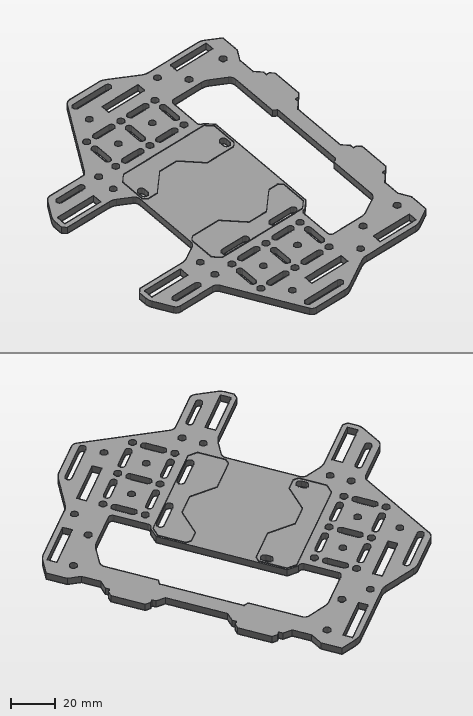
import cadquery as cq
import math

WIDTH = 170.0
GRID_PITCHES_ACROSS = 17
PITCH = WIDTH / GRID_PITCHES_ACROSS
THICKNESS = 4.0
OVERCUT = 1.7
THROUGH = THICKNESS + 2 * OVERCUT
TAN_30 = math.tan(math.radians(30))
TAN_60 = math.tan(math.radians(60))

HALF_WIDTH = WIDTH / 2
REAR_EDGE = 71.9
DEPTH = 135.0
LEG_END = REAR_EDGE - DEPTH
CORNER_SETBACK = 1.9
ARM_OUTER_X = 7.5 * PITCH
ARM_CORNER_X = 7 * PITCH
ARM_REAR = 68.3
ARM_INNER_X = 6 * PITCH
CROSSBAR_REAR = 65.1
TAB_OUTER_X = 4 * PITCH
TAB_INNER_X = 2 * PITCH
TAB_LEDGE = 2.0
WING_REAR = PITCH
WING_FRONT = -10.5
LEG_OUTER_X = 4.5 * PITCH
LEG_INNER_X = 2.5 * PITCH
LEG_FLAT_X = 33.0
LEG_ROOT = -34.7
BRIDGE_FRONT = -2.5 * PITCH

WINDOW_SIDE_X = 5.5 * PITCH
WINDOW_FRONT = 2.5 * PITCH
WINDOW_SHOULDER = 4.5 * PITCH
WINDOW_REAR_SIDE = 56.0
WINDOW_REAR_MIDDLE = 58.0

PAD_SIDE_X = 34.0
PAD_REAR = 3 * PITCH
PAD_FRONT = -24.0
PAD_CHAMFER = 3.4
PAD_DEPTH = 0.3
PAD_INNER_X = 15.3
PAD_WAIST_X = 2.5 * PITCH
PAD_LEFT_WAIST_REAR = 2.9
PAD_LEFT_WAIST_FRONT = -7.0
PAD_RIGHT_WAIST_REAR = 13.1
PAD_RIGHT_WAIST_FRONT = 2.9
BOARD_RIM = 1.0

HOLE_LARGE = 3.5
HOLE_SMALL = 3.4
SLOT_WIDTH = 3.2
GRID_SLOT_LENGTH = 12.0
LEG_SLOT_LENGTH = 16.0
LEG_SLOT_Y = -46.5
WING_SLOT_LENGTH = 22.1
SQUARE_SLOT_LENGTH = 21.0
ARM_SQUARE_SLOT_WIDTH = 4.6
LEG_SQUARE_SLOT_WIDTH = 5.1
BOARD_SLOT_WIDTH = 3.5
BOARD_LEFT_SLOT_LENGTH = 5.8
BOARD_LEFT_SLOT_X = -2 * PITCH
BOARD_LEFT_SLOT_ROWS = (27.0, -21.0)
BOARD_RIGHT_SLOT_LENGTH = 15.5
BOARD_RIGHT_SLOT_X = 31.8
BOARD_RIGHT_SLOT_ROWS = (17.0, -11.0)


def mirrored_loop(half):
    """Close a +X half outline, listed from rear to front, with its mirror image."""
    return half + [(-x, y, corner) for x, y, corner in reversed(half)]


def extruded_outline(corners, base, height):
    """Extrude a closed loop of (x, y, corner style) corners."""
    def toward(start, end):
        length = math.dist(start[:2], end[:2])
        step = CORNER_SETBACK / length
        return (start[0] + step * (end[0] - start[0]), start[1] + step * (end[1] - start[1]))

    first, last = corners[0], corners[-1]
    sketch = cq.Workplane("XY", origin=(0, 0, base))
    sketch = sketch.moveTo((first[0] + last[0]) / 2, (first[1] + last[1]) / 2)
    for index, corner in enumerate(corners):
        before = corners[index - 1]
        after = corners[(index + 1) % len(corners)]
        if corner[2] == "sharp":
            sketch = sketch.lineTo(*corner[:2])
            continue
        sketch = sketch.lineTo(*toward(corner, before))
        if corner[2] == "round":
            sketch = sketch.tangentArcPoint(toward(corner, after), relative=False)
        else:
            sketch = sketch.lineTo(*toward(corner, after))
    return sketch.close().extrude(height)


def plate():
    """Outer outline, including the tabs, wings and legs."""
    ledge_drop = ARM_REAR - CROSSBAR_REAR
    half = [
        (TAB_INNER_X - TAB_LEDGE - ledge_drop, CROSSBAR_REAR, "sharp"),
        (TAB_INNER_X - TAB_LEDGE, ARM_REAR, "sharp"),
        (TAB_INNER_X, ARM_REAR, "sharp"),
        (TAB_INNER_X, REAR_EDGE, "chamfer"),
        (TAB_OUTER_X, REAR_EDGE, "chamfer"),
        (TAB_OUTER_X, ARM_REAR, "sharp"),
        (TAB_OUTER_X + TAB_LEDGE, ARM_REAR, "sharp"),
        (TAB_OUTER_X + TAB_LEDGE + ledge_drop, CROSSBAR_REAR, "sharp"),
        (ARM_INNER_X - ledge_drop * TAN_60, CROSSBAR_REAR, "sharp"),
        (ARM_INNER_X, ARM_REAR, "sharp"),
        (ARM_CORNER_X, ARM_REAR, "sharp"),
        (ARM_OUTER_X, ARM_REAR - (ARM_OUTER_X - ARM_CORNER_X) * TAN_60, "round"),
        (ARM_OUTER_X, WING_REAR + (HALF_WIDTH - ARM_OUTER_X) * TAN_60, "round"),
        (HALF_WIDTH, WING_REAR, "round"),
        (HALF_WIDTH, WING_FRONT, "round"),
        (LEG_OUTER_X, WING_FRONT - (HALF_WIDTH - LEG_OUTER_X) * TAN_30, "round"),
        (LEG_OUTER_X, LEG_END + (LEG_OUTER_X - LEG_FLAT_X) * TAN_30, "round"),
        (LEG_FLAT_X, LEG_END, "round"),
        (LEG_INNER_X, LEG_END, "chamfer"),
        (LEG_INNER_X, LEG_ROOT, "round"),
        (LEG_INNER_X - (BRIDGE_FRONT - LEG_ROOT) / TAN_60, BRIDGE_FRONT, "round"),
    ]
    return extruded_outline(mirrored_loop(half), 0, THICKNESS)


def rear_window():
    """Opening whose front edge follows the board area at an even rim."""
    board_side = PAD_SIDE_X + BOARD_RIM
    board_rear = PAD_REAR + BOARD_RIM
    board_chamfer = PAD_CHAMFER + BOARD_RIM * (2 - math.sqrt(2))
    step = WINDOW_REAR_MIDDLE - WINDOW_REAR_SIDE
    shoulder_run = (WINDOW_REAR_SIDE - WINDOW_SHOULDER) / TAN_60
    half = [
        (TAB_INNER_X, WINDOW_REAR_MIDDLE, "sharp"),
        (TAB_INNER_X + step / TAN_60, WINDOW_REAR_SIDE, "sharp"),
        (WINDOW_SIDE_X - shoulder_run, WINDOW_REAR_SIDE, "round"),
        (WINDOW_SIDE_X, WINDOW_SHOULDER, "round"),
        (WINDOW_SIDE_X, WINDOW_FRONT, "round"),
        (board_side, WINDOW_FRONT, "round"),
        (board_side, board_rear - board_chamfer, "sharp"),
        (board_side - board_chamfer, board_rear, "sharp"),
    ]
    return extruded_outline(mirrored_loop(half), -OVERCUT, THROUGH)


def pad_recess(side, waist_rear, waist_front):
    """Shallow pad on one side (-1 left, 1 right) whose inner edge steps outward to a waist."""
    waist_run = PAD_WAIST_X - PAD_INNER_X
    outline = [
        (PAD_SIDE_X - PAD_CHAMFER, PAD_REAR, "sharp"),
        (PAD_SIDE_X, PAD_REAR - PAD_CHAMFER, "sharp"),
        (PAD_SIDE_X, PAD_FRONT + PAD_CHAMFER, "sharp"),
        (PAD_SIDE_X - PAD_CHAMFER, PAD_FRONT, "sharp"),
        (PAD_INNER_X, PAD_FRONT, "chamfer"),
        (PAD_INNER_X, waist_front - waist_run, "sharp"),
        (PAD_WAIST_X, waist_front, "sharp"),
        (PAD_WAIST_X, waist_rear, "sharp"),
        (PAD_INNER_X, waist_rear + waist_run, "sharp"),
        (PAD_INNER_X, PAD_REAR, "chamfer"),
    ]
    corners = [(side * x, y, corner) for x, y, corner in outline]
    return extruded_outline(corners, THICKNESS - PAD_DEPTH, PAD_DEPTH + OVERCUT)


def cutter(centers):
    """Workplane below the plate with a point at each center."""
    return cq.Workplane("XY", origin=(0, 0, -OVERCUT)).pushPoints(centers)


def holes(centers, diameter):
    return cutter(centers).circle(diameter / 2).extrude(THROUGH)


def slots(centers, length, width, angle=90):
    return cutter(centers).slot2D(length, width, angle).extrude(THROUGH)


def square_slots(centers, width):
    return cutter(centers).rect(width, SQUARE_SLOT_LENGTH).extrude(THROUGH)


def both_sides(cells):
    """Grid cells (column, row) on the right, turned into centers on both sides."""
    return [(side * column * PITCH, row * PITCH) for side in (-1, 1) for column, row in cells]


large_holes = both_sides([(4, -3), (6, 4), (6, 6)] + [(c, r) for c in (4, 6) for r in (-2, 0, 2)])
small_holes = both_sides([(3, -3), (5, -1), (5, 1), (7, -1), (7, 3)])
lengthwise_slots = both_sides([(c, r) for c in (4, 6) for r in (-1, 1)])
crosswise_slots = both_sides([(5, r) for r in (-2, 0, 2)])
leg_slots = [(side * 4 * PITCH, LEG_SLOT_Y) for side in (-1, 1)]
board_left_slots = [(BOARD_LEFT_SLOT_X, y) for y in BOARD_LEFT_SLOT_ROWS]
board_right_slots = [(BOARD_RIGHT_SLOT_X, y) for y in BOARD_RIGHT_SLOT_ROWS]

cuts = [
    rear_window(),
    pad_recess(-1, PAD_LEFT_WAIST_REAR, PAD_LEFT_WAIST_FRONT),
    pad_recess(1, PAD_RIGHT_WAIST_REAR, PAD_RIGHT_WAIST_FRONT),
    holes(large_holes, HOLE_LARGE),
    holes(small_holes, HOLE_SMALL),
    slots(lengthwise_slots, GRID_SLOT_LENGTH, SLOT_WIDTH),
    slots(crosswise_slots, GRID_SLOT_LENGTH, SLOT_WIDTH, angle=0),
    slots(leg_slots, LEG_SLOT_LENGTH, SLOT_WIDTH),
    slots(both_sides([(8, 0)]), WING_SLOT_LENGTH, SLOT_WIDTH),
    slots(board_left_slots, BOARD_LEFT_SLOT_LENGTH, BOARD_SLOT_WIDTH, angle=0),
    slots(board_right_slots, BOARD_RIGHT_SLOT_LENGTH, BOARD_SLOT_WIDTH),
    square_slots(both_sides([(7, 1), (7, 5)]), ARM_SQUARE_SLOT_WIDTH),
    square_slots(both_sides([(3, -5)]), LEG_SQUARE_SLOT_WIDTH),
]

result = plate()
for cut in cuts:
    result = result.cut(cut)